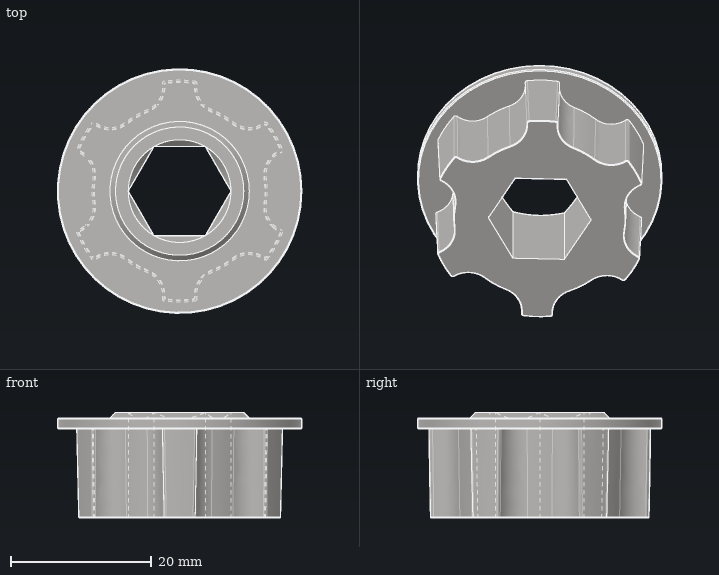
import cadquery as cq
import math

flange_diameter = 34.92
flange_thickness = 1.59
flange_edge_chamfer = 0.15
boss_diameter = 19.9
boss_height = 0.79
cone_angle = 45

body_height = 12.7
draft_angle = 1.0
lobe_count = 6
lobe_radius = 15.85
core_radius = 12.5
core_half_angle = 8.25
flute_radius = 3.5
lobe_corner_radius = 0.35
body_edge_chamfer = 0.1

hex_sides = 6
hex_across_flats = 12.7
hex_across_corners = hex_across_flats / math.cos(math.pi / hex_sides)
countersink_depth = (hex_across_corners - hex_across_flats) / 2

lobe_pitch = 360 / lobe_count
top_z = flange_thickness + boss_height
total_height = body_height + top_z


def polar(radius, degrees):
    angle = math.radians(degrees)
    return (radius * math.cos(angle), radius * math.sin(angle))


def make_flange():
    """Round flange; its underside lies at Z = 0."""
    flange = cq.Workplane("XY").circle(flange_diameter / 2).extrude(flange_thickness)
    return flange.edges("%CIRCLE").chamfer(flange_edge_chamfer)


def make_boss():
    """Raised ring on the flange with a 45 degree conical side."""
    boss = cq.Workplane("XY").workplane(offset=flange_thickness).circle(boss_diameter / 2)
    return boss.extrude(boss_height, taper=cone_angle)


def flute_end_angle():
    """Angle from the middle of a flute to the point where its arc meets the lobe circle."""
    center_distance = core_radius + flute_radius
    cosine = (center_distance**2 + lobe_radius**2 - flute_radius**2) / (2 * center_distance * lobe_radius)
    return core_half_angle + math.degrees(math.acos(cosine))


def is_lobe_corner(edge):
    """Upright edge of the body lying outside the mid radius between core and lobes."""
    center = edge.Center()
    is_upright = edge.BoundingBox().zlen > body_height / 2
    return is_upright and math.hypot(center.x, center.y) > (core_radius + lobe_radius) / 2


def make_body():
    """Lobed body, drafted so that it narrows away from the flange.

    Each flute is a stretch of core circle between two concave arcs tangent to it.
    """
    end_angle = flute_end_angle()
    center_x, center_y = polar(core_radius + flute_radius, core_half_angle)
    end_x, end_y = polar(lobe_radius, end_angle)
    start_direction = core_half_angle + 180
    end_direction = math.degrees(math.atan2(end_y - center_y, end_x - center_x))
    offset_x, offset_y = polar(flute_radius, (start_direction + end_direction) / 2)
    mid_radius = math.hypot(center_x + offset_x, center_y + offset_y)
    mid_angle = math.degrees(math.atan2(center_y + offset_y, center_x + offset_x))

    outline = cq.Workplane("XY").moveTo(*polar(core_radius, -core_half_angle))
    for index in range(lobe_count):
        flute = index * lobe_pitch
        next_flute = flute + lobe_pitch
        outline = (
            outline.threePointArc(polar(core_radius, flute), polar(core_radius, flute + core_half_angle))
            .threePointArc(polar(mid_radius, flute + mid_angle), polar(lobe_radius, flute + end_angle))
            .threePointArc(
                polar(lobe_radius, flute + lobe_pitch / 2),
                polar(lobe_radius, next_flute - end_angle),
            )
            .threePointArc(
                polar(mid_radius, next_flute - mid_angle),
                polar(core_radius, next_flute - core_half_angle),
            )
        )
    body = outline.close().extrude(-body_height, taper=draft_angle)
    body = body.edges().filter(is_lobe_corner).fillet(lobe_corner_radius)
    return body.faces("<Z").edges().chamfer(body_edge_chamfer)


def make_hex_hole():
    """Through hexagon with corners on the X axis, and its 45 degree countersink."""
    hexagon = (
        cq.Workplane("XY")
        .workplane(offset=-body_height)
        .polygon(hex_sides, hex_across_corners)
        .extrude(total_height)
    )
    countersink = (
        cq.Workplane("XY")
        .workplane(offset=top_z)
        .circle(hex_across_corners / 2)
        .extrude(-countersink_depth, taper=cone_angle)
    )
    return hexagon.union(countersink)


result = make_flange().union(make_boss()).union(make_body()).cut(make_hex_hole())